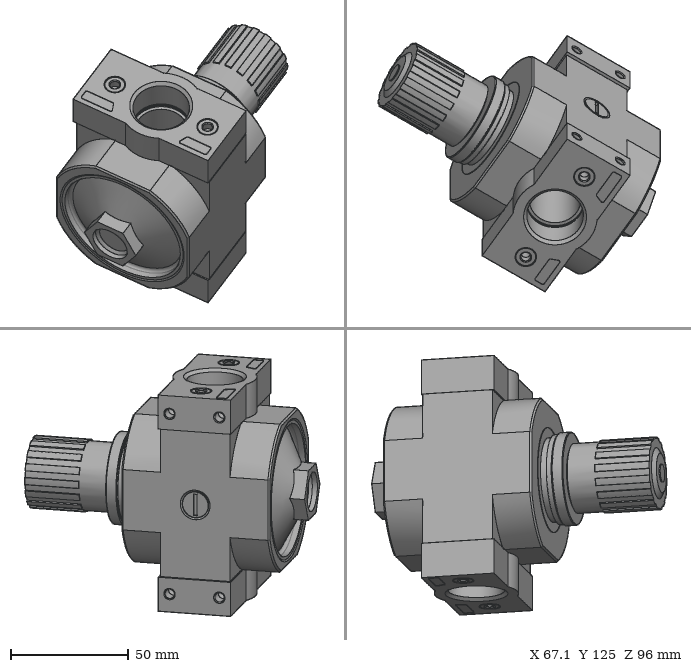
import cadquery as cq
import math


HOUSING_SIZE = 65.8
HALF = HOUSING_SIZE / 2
DRUM_RADIUS = 35.5
DRUM_CHAMFER = 0.8
CROSS_WIDTH = 30.8
PORT_RADIUS = 22.0 / 2
SEAL_RECESS_RADIUS = 24.9 / 2
HOUSING_SEAL_DEPTH = 0.8
REAR_PAD_RADIUS = 22.5
REAR_PAD_HEIGHT = 0.2

SPIGOT_RADIUS = 18.1
RING_RADIUS = 19.4
COLLAR_RADIUS = 20.0
COLLAR_GROOVE_RADIUS = 18.9
RING_START = 2.9
RING_END = 5.0
COLLAR_START = 5.6
COLLAR_END = 10.2
COLLAR_CHAMFER = 0.4

KNOB_GAP = 0.8
KNOB_NECK_RADIUS = 26.9 / 2
KNOB_BARREL_RADIUS = 30 / 2
KNOB_RIB_RADIUS = 15.6
KNOB_TOP = 82.0
KNOB_CROWN_HEIGHT = 2.0
KNOB_CROWN_RADIUS = 22.0 / 2
KNOB_CROWN_FLAT_RADIUS = 8.5
KNOB_BOSS_RADIUS = 3.9
KNOB_BOSS_HEIGHT = 0.5
RIB_COUNT = 16
RIB_WIDTH = 3.1
RIB_LENGTH = 23.9

RECESS_RADIUS = 30.8
CAP_RADIUS = 30.0
CAP_RIM_INNER_RADIUS = 28.6
CAP_CONE_RADIUS = 27.1
CAP_CONE_SLOPE = 0.56
CAP_CONE_FACE_RADIUS = 19.0
CAP_THICKNESS = 7.5
CAP_RIM_DEPTH = 0.4
HEX_FLATS = 22.0
HEX_HEIGHT = 10.1
HEX_HOLE_RADIUS = 17.0 / 2
HEX_HOLE_DEPTH = 3.5
HEX_HOLE_FLOOR_RADIUS = 7.2

FLANGE_THICKNESS = 15.1
FLANGE_WIDTH = 32.0
FLANGE_MIN_X = -34.2
FLANGE_MAX_X = 32.6
FLANGE_HUB_RADIUS = 18.0
FLANGE_SEAL_DEPTH = 1.1
FLANGE_BORE_RADIUS = 24.1 / 2
FLANGE_MOUTH_RADIUS = 26.9 / 2
END_HOLE_SPACING = 22.0
END_HOLE_HEIGHT = 40.0 - HALF
END_HOLE_DEPTH = 6.2
SMALL_HOLE_RADIUS = 4.1 / 2
SMALL_HOLE_MOUTH_RADIUS = 5 / 2
DRILL_TIP_ANGLE = 118

SCREW_X = 23.0
SCREW_RADIUS = 8.5 / 2
SCREW_SEAT_MOUTH_RADIUS = 9.1 / 2
SCREW_LENGTH = 8.8
SCREW_SOCKET_DEPTH = 3.8

LABEL_DEPTH = 0.2
LABEL_END_MARGIN = 2.4
LABEL_INNER_X = 16.4
LABEL_SLANT = 1.9
LABEL_MIN_Y = -13.6
LABEL_MAX_Y = -9.0
LABEL_CORNER_RADIUS = 0.8

PLUG_RADIUS = 11.5 / 2
PLUG_SEAT_MOUTH_RADIUS = 13.1 / 2
PLUG_DEPTH = 6.2
PLUG_SLOT_WIDTH = 1.6
PLUG_SLOT_LENGTH = 9.5
PLUG_SLOT_DEPTH = 1.2


def turned_about_y(profile):
    """Solid of revolution about Y from (radius, y) points."""
    return cq.Workplane("XY").polyline(profile).close().revolve(360, (0, 0, 0), (0, 1, 0))


def flush_seat(radius, mouth_radius, depth):
    """Round seat along -Z from the origin, with a 45 degree mouth."""
    profile = [
        (0, 0),
        (mouth_radius, 0),
        (radius, radius - mouth_radius),
        (radius, -depth),
        (0, -depth),
    ]
    return cq.Workplane("XZ").polyline(profile).close().revolve(360, (0, 0, 0), (0, 1, 0))


def drilled_hole(depth):
    """Chamfered blind hole along -Z from the origin, with a drill tip."""
    tip = SMALL_HOLE_RADIUS / math.tan(math.radians(DRILL_TIP_ANGLE / 2))
    profile = [
        (0, 0),
        (SMALL_HOLE_MOUTH_RADIUS, 0),
        (SMALL_HOLE_RADIUS, SMALL_HOLE_RADIUS - SMALL_HOLE_MOUTH_RADIUS),
        (SMALL_HOLE_RADIUS, -depth),
        (0, -depth - tip),
    ]
    return cq.Workplane("XZ").polyline(profile).close().revolve(360, (0, 0, 0), (0, 1, 0))


def on_minus_x_face(tool, face_x, y, z):
    """Turns a tool that cuts along -Z so that it cuts along +X from a -X face."""
    return tool.rotate((0, 0, 0), (0, 1, 0), -90).translate((face_x, y, z))


def cap_body():
    front = -HALF
    cone_foot = front + (CAP_CONE_RADIUS - CAP_CONE_FACE_RADIUS) * CAP_CONE_SLOPE
    cone_tip = front - CAP_CONE_FACE_RADIUS * CAP_CONE_SLOPE
    back = front + CAP_THICKNESS
    fillet = CAP_RIM_INNER_RADIUS - CAP_CONE_RADIUS
    fillet_middle = (
        CAP_CONE_RADIUS + fillet * math.sin(math.radians(45)),
        cone_foot - fillet + fillet * math.cos(math.radians(45)),
    )
    cone = (
        cq.Workplane("XY")
        .moveTo(0, back)
        .lineTo(CAP_RADIUS, back)
        .lineTo(CAP_RADIUS, front + CAP_RIM_DEPTH)
        .lineTo(CAP_RIM_INNER_RADIUS, front + CAP_RIM_DEPTH)
        .lineTo(CAP_RIM_INNER_RADIUS, cone_foot - fillet)
        .threePointArc(fillet_middle, (CAP_CONE_RADIUS, cone_foot))
        .lineTo(0, cone_tip)
        .close()
        .revolve(360, (0, 0, 0), (0, 1, 0))
    )
    hex_end = front - HEX_HEIGHT
    corners = HEX_FLATS / math.cos(math.radians(30))
    hexagon = cq.Workplane("XZ", origin=(0, hex_end, 0)).polygon(6, corners).extrude(-HEX_HEIGHT)
    hole_floor = hex_end + HEX_HOLE_DEPTH
    hole = turned_about_y([
        (0, hex_end),
        (HEX_HOLE_RADIUS, hex_end),
        (HEX_HOLE_RADIUS, hole_floor - (HEX_HOLE_RADIUS - HEX_HOLE_FLOOR_RADIUS)),
        (HEX_HOLE_FLOOR_RADIUS, hole_floor),
        (0, hole_floor),
    ])
    cone_trim = cq.Workplane("XZ", origin=(0, hex_end, 0)).rect(HOUSING_SIZE, HOUSING_SIZE)
    cone_trim = cone_trim.extrude(HOUSING_SIZE)
    return cone.cut(cone_trim).union(hexagon).cut(hole)


def cap_recess():
    front = -HALF
    back = front + CAP_THICKNESS
    return turned_about_y([
        (0, front),
        (RECESS_RADIUS, front),
        (CAP_RADIUS, front + CAP_RIM_DEPTH),
        (CAP_RADIUS, back),
        (0, back),
    ])


def bonnet():
    return turned_about_y([
        (0, 0),
        (SPIGOT_RADIUS, 0),
        (SPIGOT_RADIUS, RING_START),
        (RING_RADIUS, RING_START),
        (RING_RADIUS, RING_END),
        (COLLAR_GROOVE_RADIUS, RING_END),
        (COLLAR_GROOVE_RADIUS, COLLAR_START),
        (COLLAR_RADIUS, COLLAR_START),
        (COLLAR_RADIUS, COLLAR_END - COLLAR_CHAMFER),
        (COLLAR_RADIUS - COLLAR_CHAMFER, COLLAR_END),
        (0, COLLAR_END),
    ]).translate((0, HALF, 0))


def housing_body():
    length = HOUSING_SIZE - REAR_PAD_HEIGHT
    rear = HALF - REAR_PAD_HEIGHT
    block = cq.Workplane("XZ", origin=(0, rear, 0)).rect(HOUSING_SIZE, HOUSING_SIZE).extrude(length)
    drum = cq.Workplane("XZ", origin=(0, rear, 0)).circle(DRUM_RADIUS).extrude(length)
    drum = block.intersect(drum).faces("<Y or >Y").chamfer(DRUM_CHAMFER)
    pad = cq.Workplane("XZ", origin=(0, HALF, 0)).circle(REAR_PAD_RADIUS).extrude(REAR_PAD_HEIGHT)
    cross = cq.Workplane("XY").box(HOUSING_SIZE, CROSS_WIDTH, HOUSING_SIZE)
    port = cq.Workplane("XY").circle(PORT_RADIUS).extrude(HALF, both=True)
    for face_z, depth in ((HALF, -HOUSING_SEAL_DEPTH), (-HALF, HOUSING_SEAL_DEPTH)):
        port = port.union(cq.Workplane("XY", origin=(0, 0, face_z)).circle(SEAL_RECESS_RADIUS).extrude(depth))
    plug_seat = flush_seat(PLUG_RADIUS, PLUG_SEAT_MOUTH_RADIUS, PLUG_DEPTH)
    housing = drum.union(cross).union(pad).union(bonnet()).cut(cap_recess()).cut(port)
    return housing.cut(on_minus_x_face(plug_seat, -HALF, 0, 0))


def knob_body():
    start = HALF + COLLAR_END
    shoulder = KNOB_TOP - KNOB_CROWN_HEIGHT
    knob = turned_about_y([
        (0, start),
        (KNOB_NECK_RADIUS, start),
        (KNOB_NECK_RADIUS, start + KNOB_GAP),
        (KNOB_BARREL_RADIUS, start + KNOB_GAP),
        (KNOB_BARREL_RADIUS, shoulder),
        (KNOB_CROWN_RADIUS, shoulder),
        (KNOB_CROWN_FLAT_RADIUS, KNOB_TOP - KNOB_BOSS_HEIGHT),
        (KNOB_BOSS_RADIUS, KNOB_TOP - KNOB_BOSS_HEIGHT),
        (KNOB_BOSS_RADIUS, KNOB_TOP),
        (0, KNOB_TOP),
    ])
    rib_envelope = cq.Workplane("XZ", origin=(0, shoulder, 0)).circle(KNOB_RIB_RADIUS).extrude(RIB_LENGTH)
    rib = cq.Workplane("XZ", origin=(0, shoulder, 0)).rect(RIB_WIDTH, 2 * KNOB_RIB_RADIUS + 1.2)
    rib = rib.extrude(RIB_LENGTH).intersect(rib_envelope)
    for index in range(RIB_COUNT // 2):
        knob = knob.union(rib.rotate((0, 0, 0), (0, 1, 0), index * 360 / RIB_COUNT))
    return knob


def label_pad(side, end_x):
    """Shallow recess for a label, on the side (-1 or 1) of the port."""
    pad = (
        cq.Workplane("XY", origin=(0, 0, FLANGE_THICKNESS))
        .polyline([
            (end_x - side * LABEL_END_MARGIN, LABEL_MIN_Y),
            (end_x - side * LABEL_END_MARGIN, LABEL_MAX_Y),
            (side * (LABEL_INNER_X + LABEL_SLANT), LABEL_MAX_Y),
            (side * LABEL_INNER_X, LABEL_MIN_Y),
        ])
        .close()
        .extrude(-LABEL_DEPTH)
    )
    return pad.edges("|Z").fillet(LABEL_CORNER_RADIUS)


def flange_body():
    """Flange lying on Z = 0 with its outer face up."""
    length = FLANGE_MAX_X - FLANGE_MIN_X
    plate = cq.Workplane("XY").box(length, FLANGE_WIDTH, FLANGE_THICKNESS, centered=(False, True, False))
    plate = plate.translate((FLANGE_MIN_X, 0, 0))
    hub = cq.Workplane("XY").circle(FLANGE_HUB_RADIUS).extrude(FLANGE_THICKNESS)
    bore = flush_seat(FLANGE_BORE_RADIUS, FLANGE_MOUTH_RADIUS, FLANGE_THICKNESS)
    flange = plate.union(hub).cut(bore.translate((0, 0, FLANGE_THICKNESS)))
    flange = flange.cut(cq.Workplane("XY").circle(SEAL_RECESS_RADIUS).extrude(FLANGE_SEAL_DEPTH))
    seat = flush_seat(SCREW_RADIUS, SCREW_SEAT_MOUTH_RADIUS, SCREW_LENGTH)
    for side, end_x in ((-1, FLANGE_MIN_X), (1, FLANGE_MAX_X)):
        flange = flange.cut(seat.translate((side * SCREW_X, 0, FLANGE_THICKNESS)))
        flange = flange.cut(label_pad(side, end_x))
        hole_y = side * END_HOLE_SPACING / 2
        flange = flange.cut(on_minus_x_face(drilled_hole(END_HOLE_DEPTH), FLANGE_MIN_X, hole_y, END_HOLE_HEIGHT))
    return flange


def screw_body():
    """Screw with its head face up on Z = 0."""
    shank = cq.Workplane("XY").circle(SCREW_RADIUS).extrude(-SCREW_LENGTH)
    return shank.cut(drilled_hole(SCREW_SOCKET_DEPTH))


def plug_body():
    plug = cq.Workplane("XY").circle(PLUG_RADIUS).extrude(-PLUG_DEPTH)
    slot = cq.Workplane("XY").rect(PLUG_SLOT_LENGTH, PLUG_SLOT_WIDTH).extrude(-PLUG_SLOT_DEPTH)
    return on_minus_x_face(plug.cut(slot), -HALF, 0, 0)


housing = housing_body()
knob = knob_body()
cap = cap_body()
plug = plug_body()

flanges = []
screws = []
upper_flange = flange_body().translate((0, 0, HALF))
for flip in (False, True):
    flange = upper_flange.mirror("XY") if flip else upper_flange
    flanges.append(flange.val())
    for side in (-1, 1):
        screw = screw_body().translate((side * SCREW_X, 0, HALF + FLANGE_THICKNESS))
        screws.append((screw.mirror("XY") if flip else screw).val())

result = cq.Compound.makeCompound(
    [housing.val(), knob.val(), cap.val(), plug.val(), *flanges, *screws]
)